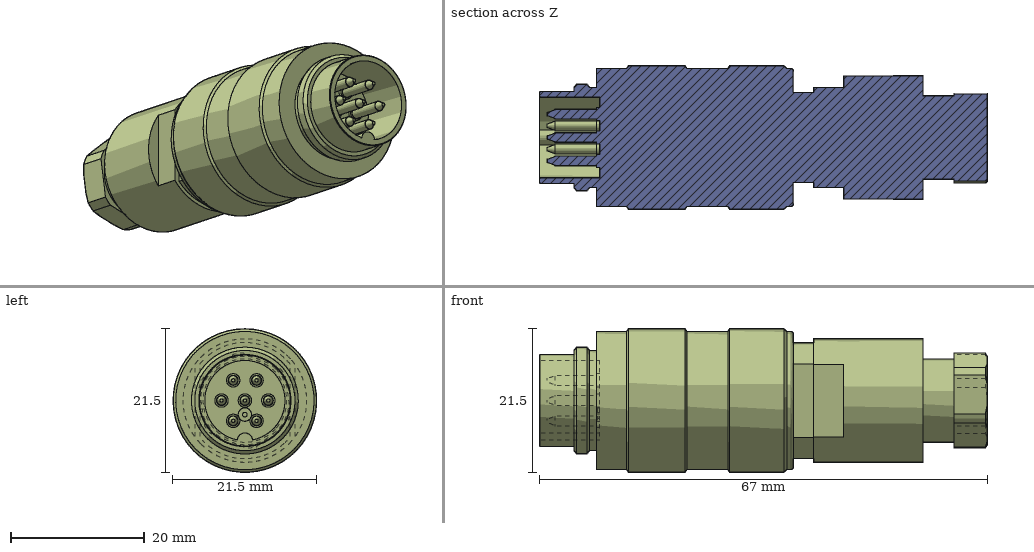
import math

import cadquery as cq


plug_diameter = 13.8
plug_rim_chamfer = 0.1
collar_start = 5.15
collar_end = 7.5
collar_diameter = 16.0
collar_bevel_length = 0.4
neck_diameter = 15.0

sleeve_start = 8.5
sleeve_end = 38.0
sleeve_diameter = 20.7
band_diameter = 21.5
band_ramp = 0.25
rear_ramp = 0.45
front_band_start = 13.05
front_band_end = 22.05
rear_band_start = 28.2
rear_band_end = 37.0
sleeve_end_fillet = 0.4

shell_neck_diameter = 17.4
shell_start = 41.0
shell_end = 57.4
shell_diameter = 18.5
neck_flat_width = 13.5
shell_flat_width = 15.0
flat_end = 45.5

gland_diameter = 12.5
nut_start = 62.0
nut_end = 67.0
nut_sides = 6
nut_across_flats = 13.0
nut_corner_diameter = 14.25
nut_flat_tilt = 8.0
nut_bevel_length = 0.3
nut_bevel_depth = 0.5

socket_diameter = 12.0
socket_depth = 9.0
key_radius = 1.15

pin_count = 6
pin_circle_radius = 3.5
pin_diameter = 1.49
pin_cone_diameter = 1.4
pin_tip_diameter = 0.5
pin_tip_x = 1.15
pin_tip_length = 1.2
pin_collar_diameter = 2.0
pin_collar_height = 0.5

boss_diameter = 2.0
boss_offset = 2.1
boss_height = 0.3
boss_hole_diameter = 0.7


def cylinder(diameter, start, end, y=0.0, z=0.0):
    """Cylinder parallel to X between two x positions."""
    radius = diameter / 2
    origin = cq.Vector(start, y, z)
    axis = cq.Vector(1, 0, 0)
    return cq.Workplane(cq.Solid.makeCylinder(radius, end - start, origin, axis))


def cone(start_diameter, end_diameter, start, end, y=0.0, z=0.0):
    """Truncated cone parallel to X between two x positions."""
    origin = cq.Vector(start, y, z)
    axis = cq.Vector(1, 0, 0)
    return cq.Workplane(cq.Solid.makeCone(start_diameter / 2, end_diameter / 2, end - start, origin, axis))


def stop_collar():
    """Collar bevelled at both ends down to the neck diameter."""
    bevel_end = collar_start + collar_bevel_length
    rear_bevel_start = collar_end - collar_bevel_length
    collar = cone(neck_diameter, collar_diameter, collar_start, bevel_end)
    collar = collar.union(cylinder(collar_diameter, bevel_end, rear_bevel_start))
    return collar.union(cone(collar_diameter, neck_diameter, rear_bevel_start, collar_end))


def grip_band(start, end, ramp_down_length):
    """Raised band that ramps up from and back down to the sleeve diameter."""
    flat_start = start + band_ramp
    ramp_down = end - ramp_down_length
    band = cylinder(band_diameter, flat_start, ramp_down)
    band = band.union(cone(sleeve_diameter, band_diameter, start, flat_start))
    return band.union(cone(band_diameter, sleeve_diameter, ramp_down, end))


def coupling_sleeve():
    sleeve = cylinder(sleeve_diameter, sleeve_start, sleeve_end).faces(">X").edges().fillet(sleeve_end_fillet)
    sleeve = sleeve.union(grip_band(front_band_start, front_band_end, band_ramp))
    return sleeve.union(grip_band(rear_band_start, rear_band_end, rear_ramp))


def flattened_cylinder(diameter, start, end, flat_width):
    """Cylinder trimmed by two flats facing -Y and +Y."""
    slab = cq.Workplane().box(end - start, flat_width, diameter).translate(((start + end) / 2, 0, 0))
    return cylinder(diameter, start, end).intersect(slab)


def rear_shell():
    shell = flattened_cylinder(shell_neck_diameter, sleeve_end, shell_start, neck_flat_width)
    shell = shell.union(flattened_cylinder(shell_diameter, shell_start, flat_end, shell_flat_width))
    return shell.union(cylinder(shell_diameter, flat_end, shell_end))


def clamping_nut():
    """Hexagon with corners turned round and a bevelled rear end."""
    half_side_angle = 180 / nut_sides
    hexagon_diameter = nut_across_flats / math.cos(math.radians(half_side_angle))
    hexagon = cq.Workplane("YZ", origin=(nut_start, 0, 0)).polygon(nut_sides, hexagon_diameter)
    hexagon = hexagon.extrude(nut_end - nut_start)
    hexagon = hexagon.rotate((0, 0, 0), (1, 0, 0), half_side_angle - nut_flat_tilt)
    bevel_start = nut_end - nut_bevel_length
    end_diameter = nut_corner_diameter - 2 * nut_bevel_depth
    envelope = cylinder(nut_corner_diameter, nut_start, bevel_start)
    envelope = envelope.union(cone(nut_corner_diameter, end_diameter, bevel_start, nut_end))
    return hexagon.intersect(envelope)


def socket_cavity():
    """Round socket with a half-round key left standing along its bottom."""
    cavity = cylinder(socket_diameter, 0, socket_depth)
    return cavity.cut(cylinder(2 * key_radius, 0, socket_depth, z=-socket_diameter / 2))


def contact_pin(y, z):
    shoulder = pin_tip_x + pin_tip_length
    pin = cylinder(pin_diameter, shoulder, socket_depth, y, z)
    pin = pin.union(cone(pin_tip_diameter, pin_cone_diameter, pin_tip_x, shoulder, y, z))
    return pin.union(cylinder(pin_collar_diameter, socket_depth - pin_collar_height, socket_depth, y, z))


def floor_boss():
    start = socket_depth - boss_height
    boss = cylinder(boss_diameter, start, socket_depth, z=-boss_offset)
    return boss.cut(cylinder(boss_hole_diameter, start, socket_depth, z=-boss_offset))


def plug_sleeve():
    sleeve = cylinder(plug_diameter, 0, collar_start).faces("<X").chamfer(plug_rim_chamfer)
    sleeve = sleeve.union(stop_collar())
    return sleeve.union(cylinder(neck_diameter, collar_end, sleeve_start))


result = plug_sleeve()
result = result.union(coupling_sleeve())
result = result.union(rear_shell())
result = result.union(cylinder(gland_diameter, shell_end, nut_start))
result = result.union(clamping_nut())
result = result.cut(socket_cavity())
result = result.union(contact_pin(0, 0))
for index in range(pin_count):
    angle = 2 * math.pi * index / pin_count
    pin_y = pin_circle_radius * math.cos(angle)
    pin_z = pin_circle_radius * math.sin(angle)
    result = result.union(contact_pin(pin_y, pin_z))
result = result.union(floor_boss())